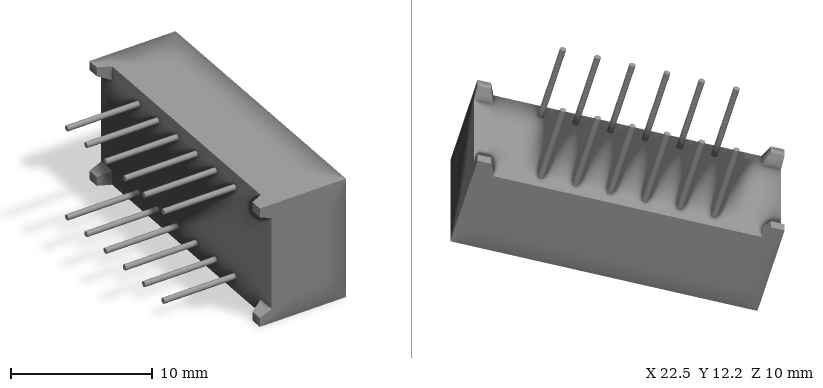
import cadquery as cq

body_width = 22.5
body_depth = 6.2
body_height = 10.0

foot_height = 1.0
foot_base_width = 1.45
foot_tip_width = 1.0
foot_base_depth = 1.17
foot_tip_depth = 0.75

pin_diameter = 0.45
pin_length = 5.98
pin_pitch = 2.55
pins_per_row = 6
row_spacing = 7.52

pin_face_y = -body_depth


def make_body():
    return cq.Workplane("XY").box(body_width, body_depth, body_height).translate((0, -body_depth / 2, 0))


def make_foot():
    """Foot at the -X, -Z corner, flush with the two outer sides of the body."""
    corner = (-body_width / 2, pin_face_y, -body_height / 2)
    return (
        cq.Workplane("XZ", origin=corner)
        .rect(foot_base_width, foot_base_depth, centered=False)
        .workplane(offset=foot_height)
        .rect(foot_tip_width, foot_tip_depth, centered=False)
        .loft(ruled=True)
    )


def make_pins():
    return (
        cq.Workplane("XZ", origin=(0, pin_face_y, 0))
        .rarray(pin_pitch, row_spacing, pins_per_row, 2)
        .circle(pin_diameter / 2)
        .extrude(pin_length)
    )


lower_left_foot = make_foot()
lower_feet = lower_left_foot.union(lower_left_foot.mirror("YZ"))
feet = lower_feet.union(lower_feet.mirror("XY"))

result = make_body().union(feet).union(make_pins())